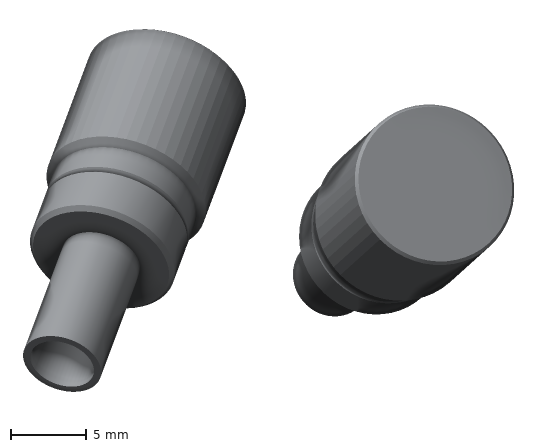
import cadquery as cq
import math

OVERALL_LENGTH = 25.6

TUBE_LENGTH = 9.5
TUBE_RADIUS = 2.7
BORE_RADIUS = 2.2

COLLAR_RADIUS = 5.0
COLLAR_CHAMFER = 0.3
GROOVE_CENTER_Y = 13.07
GROOVE_WIDTH = 0.45
GROOVE_DEPTH = GROOVE_WIDTH / 2

GRIP_RADIUS = 5.5
GRIP_LENGTH = 10.0
GRIP_FLATS = 50
GRIP_END_CHAMFER = 0.2

PIN_TIP_RADIUS = 1.5
PIN_CONE_RADIUS = 1.66
PIN_ROOT_RADIUS = 1.9
PIN_CONE_ANGLE = math.radians(45)
PIN_FILLET_RADIUS = (PIN_ROOT_RADIUS - PIN_CONE_RADIUS) / math.sin(PIN_CONE_ANGLE)

GRIP_START = OVERALL_LENGTH - GRIP_LENGTH
SHOULDER_START = GRIP_START - (GRIP_RADIUS - COLLAR_RADIUS)


def revolve_profile(points):
    """Revolve a closed (radius, Y) outline about the Y axis."""
    return cq.Workplane("XY").polyline(points).close().revolve(360, (0, 0, 0), (0, 1, 0))


def make_turned_body():
    """Solid tube, grooved collar, 45 degree shoulder and grip blank."""
    return revolve_profile([
        (0, 0),
        (TUBE_RADIUS, 0),
        (TUBE_RADIUS, TUBE_LENGTH),
        (COLLAR_RADIUS - COLLAR_CHAMFER, TUBE_LENGTH),
        (COLLAR_RADIUS, TUBE_LENGTH + COLLAR_CHAMFER),
        (COLLAR_RADIUS, GROOVE_CENTER_Y - GROOVE_WIDTH / 2),
        (COLLAR_RADIUS - GROOVE_DEPTH, GROOVE_CENTER_Y),
        (COLLAR_RADIUS, GROOVE_CENTER_Y + GROOVE_WIDTH / 2),
        (COLLAR_RADIUS, SHOULDER_START),
        (GRIP_RADIUS, GRIP_START),
        (GRIP_RADIUS, OVERALL_LENGTH - GRIP_END_CHAMFER),
        (GRIP_RADIUS - GRIP_END_CHAMFER, OVERALL_LENGTH),
        (0, OVERALL_LENGTH),
    ])


def make_grip_prism():
    """Many-sided prism whose flats form the grip; a corner points along +Z."""
    flat_angle = 2 * math.pi / GRIP_FLATS
    corners = [
        (GRIP_RADIUS * math.sin(i * flat_angle), GRIP_RADIUS * math.cos(i * flat_angle))
        for i in range(GRIP_FLATS)
    ]
    return cq.Workplane("XZ").polyline(corners).close().extrude(-OVERALL_LENGTH)


def make_bore():
    """Blind bore running the full length of the tube."""
    return cq.Workplane("XZ").circle(BORE_RADIUS).extrude(-TUBE_LENGTH)


def root_fillet_point(angle):
    """Point (radius, Y) on the pin's root fillet, at an angle measured from the bore floor."""
    return (
        PIN_ROOT_RADIUS - PIN_FILLET_RADIUS * math.sin(angle),
        TUBE_LENGTH - PIN_FILLET_RADIUS * (1 - math.cos(angle)),
    )


def make_pin():
    """Low conical pin rising from the bore floor, its root fillet tangent to floor and cone."""
    cone_start = root_fillet_point(PIN_CONE_ANGLE)
    cone_height = (PIN_CONE_RADIUS - PIN_TIP_RADIUS) * math.tan(PIN_CONE_ANGLE)
    tip_y = cone_start[1] - cone_height
    sunk_y = TUBE_LENGTH + PIN_FILLET_RADIUS
    outline = (
        cq.Workplane("XY")
        .moveTo(0, sunk_y)
        .lineTo(PIN_ROOT_RADIUS, sunk_y)
        .lineTo(PIN_ROOT_RADIUS, TUBE_LENGTH)
        .threePointArc(root_fillet_point(PIN_CONE_ANGLE / 2), cone_start)
        .lineTo(PIN_TIP_RADIUS, tip_y)
        .lineTo(0, tip_y)
        .close()
    )
    return outline.revolve(360, (0, 0, 0), (0, 1, 0))


result = make_turned_body().intersect(make_grip_prism()).cut(make_bore()).union(make_pin())